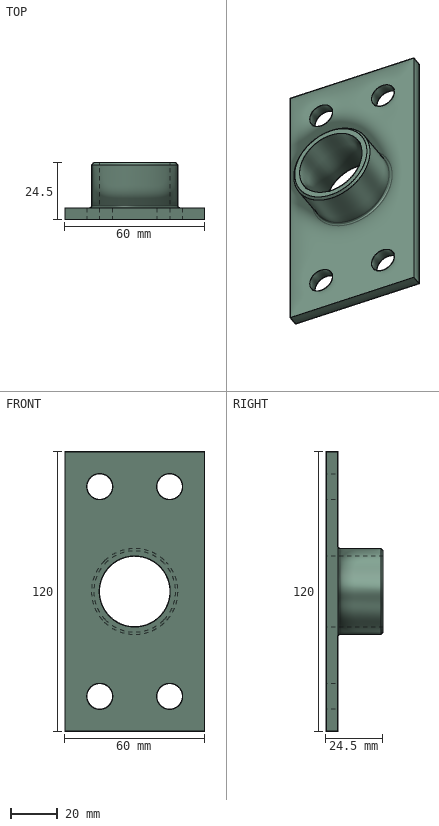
import cadquery as cq

plate_width = 60.0
plate_height = 120.0
plate_thickness = 5.0

total_depth = 24.5
sleeve_diameter = 37.0
bore_diameter = 30.29
rim_chamfer = 1.0
root_fillet = 1.0

fixing_hole_diameter = 11.0
fixing_spacing_x = 30.0
fixing_spacing_z = 90.0


def make_plate():
    """Rectangular plate with its front face on Y = 0."""
    return cq.Workplane("XY").box(
        plate_width, plate_thickness, plate_height, centered=(True, False, True)
    )


def make_cylinder(diameter, length):
    """Cylinder along +Y, starting on the front face of the plate."""
    return cq.Workplane("XZ").circle(diameter / 2).extrude(-length)


def make_sleeve():
    """Round sleeve with a chamfered outer rim at its free end."""
    return make_cylinder(sleeve_diameter, total_depth).faces(">Y").edges().chamfer(rim_chamfer)


def round_sleeve_root(body):
    """Small fillet on the circle where the sleeve meets the back face of the plate."""
    root_zone = cq.selectors.BoxSelector(
        (-sleeve_diameter, plate_thickness - root_fillet, -sleeve_diameter),
        (sleeve_diameter, plate_thickness + root_fillet, sleeve_diameter),
    )
    return body.edges("%CIRCLE").edges(root_zone).fillet(root_fillet)


def make_fixing_holes():
    """Cutting cylinders for the four fixing holes."""
    return (
        cq.Workplane("XZ")
        .rect(fixing_spacing_x, fixing_spacing_z, forConstruction=True)
        .vertices()
        .circle(fixing_hole_diameter / 2)
        .extrude(-plate_thickness)
    )


body = round_sleeve_root(make_plate().union(make_sleeve()))
result = body.cut(make_cylinder(bore_diameter, total_depth)).cut(make_fixing_holes())